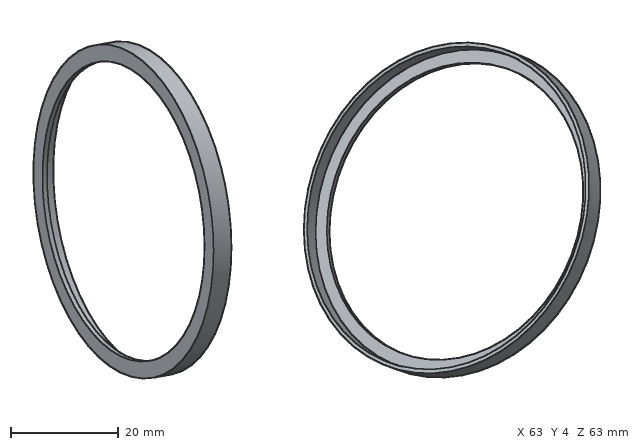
import cadquery as cq

outer_diameter = 63.0
lip_diameter = 56.6
recess_diameter = 61.5
width = 4.0
lip_thickness = 1.0
recess_depth = width - lip_thickness

ring = (
    cq.Workplane("XZ", origin=(0, width / 2, 0))
    .circle(outer_diameter / 2)
    .circle(lip_diameter / 2)
    .extrude(width)
)

recess = (
    cq.Workplane("XZ", origin=(0, width / 2, 0))
    .circle(recess_diameter / 2)
    .extrude(recess_depth)
)

result = ring.cut(recess)